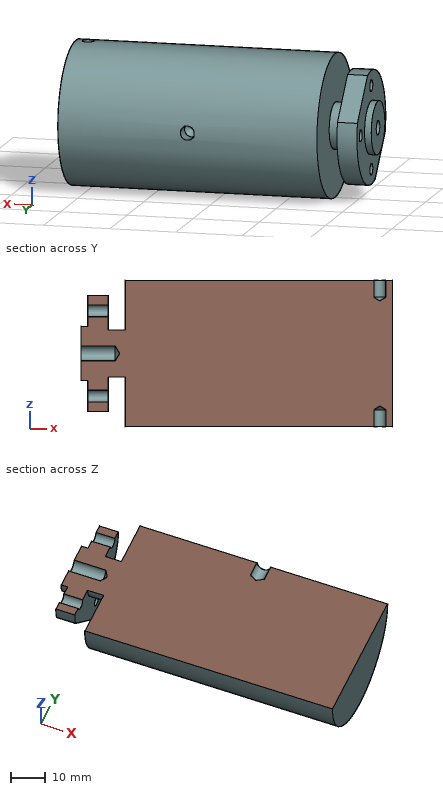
import cadquery as cq
import math

total_length = 91.3
body_diameter = 43.0
body_start = 13.0
neck_diameter = 14.0
flange_diameter = 34.1
flange_start = 2.0
flange_end = 8.0
flat_distance = 14.8
pilot_diameter = 16.0

centre_hole_diameter = 4.2
centre_hole_depth = 10.0
drill_point_angle = 118.0
flange_hole_diameter = 3.4
flange_hole_circle_radius = 12.5
end_hole_diameter = 3.4
side_hole_diameter = 4.2
radial_hole_depth = 5.0
end_hole_x = 87.6
side_hole_x = 52.1


def cylinder(diameter, start, end):
    """Cylinder about the X axis between two X positions."""
    return cq.Workplane("YZ", origin=(start, 0, 0)).circle(diameter / 2).extrude(end - start)


def drilled_hole(diameter, depth, origin, direction):
    """Blind hole with a conical bottom, drilled from origin along direction."""
    radius = diameter / 2
    point_length = radius / math.tan(math.radians(drill_point_angle / 2))
    origin = cq.Vector(*origin)
    direction = cq.Vector(*direction)
    barrel = cq.Solid.makeCylinder(radius, depth, origin, direction)
    point = cq.Solid.makeCone(radius, 0, point_length, origin + direction * depth, direction)
    return barrel.fuse(point)


def flange():
    """Round flange with two parallel flats facing +Y+Z and -Y-Z, and four through holes."""
    thickness = flange_end - flange_start
    middle = (flange_start + flange_end) / 2
    flats = (
        cq.Workplane("XY")
        .box(thickness, 2 * flat_distance, flange_diameter)
        .rotate((0, 0, 0), (1, 0, 0), 45)
        .translate((middle, 0, 0))
    )
    holes = (
        cq.Workplane("YZ", origin=(flange_start, 0, 0))
        .polarArray(flange_hole_circle_radius, 0, 360, 4)
        .circle(flange_hole_diameter / 2)
        .extrude(thickness)
    )
    return cylinder(flange_diameter, flange_start, flange_end).intersect(flats).cut(holes)


result = (
    cylinder(body_diameter, body_start, total_length)
    .union(cylinder(neck_diameter, flange_start, body_start))
    .union(flange())
    .union(cylinder(pilot_diameter, 0, flange_start))
)

result = result.cut(drilled_hole(centre_hole_diameter, centre_hole_depth, (0, 0, 0), (1, 0, 0)))

body_radius = body_diameter / 2
radial_holes = [
    (end_hole_x, 0, 1, end_hole_diameter),
    (end_hole_x, 0, -1, end_hole_diameter),
    (side_hole_x, 1, 0, side_hole_diameter),
]
for x, y, z, diameter in radial_holes:
    mouth = (x, y * body_radius, z * body_radius)
    result = result.cut(drilled_hole(diameter, radial_hole_depth, mouth, (0, -y, -z)))